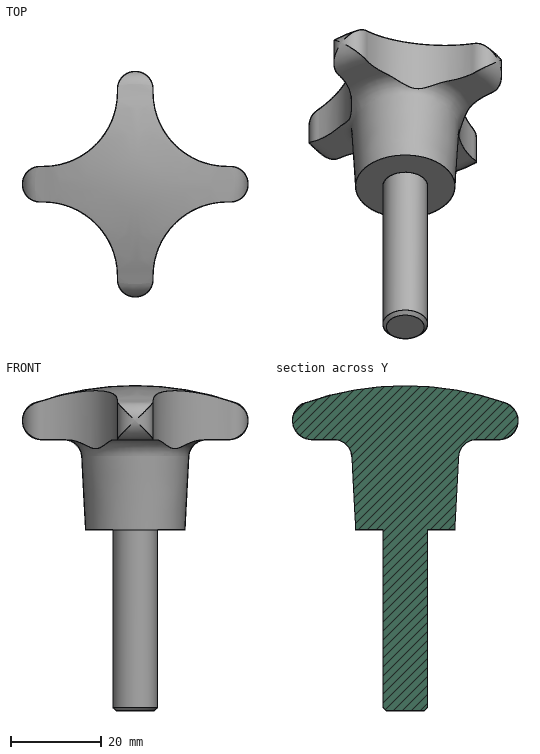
import cadquery as cq
import math

total_height = 72.0
arm_reach = 25.0
arm_half_width = 3.95
scallop_radius = 16.35
head_height = 12.0
rim_radius = 4.25
hub_height = 32.0
hub_end_radius = 11.0
hub_draft = math.radians(3)
neck_radius = 3.9
stud_radius = 5.0
stud_chamfer = 0.8

rim_center_x = arm_reach - rim_radius
rim_center_z = -head_height + rim_radius
dome_radius = (rim_center_x**2 + rim_center_z**2 - rim_radius**2) / (2 * (-rim_center_z - rim_radius))
dome_edge_angle = math.atan2(rim_center_x, dome_radius + rim_center_z)

neck_center_z = -head_height - neck_radius
hub_top_z = neck_center_z + neck_radius * math.sin(hub_draft)
hub_top_radius = hub_end_radius + (hub_height + hub_top_z) * math.tan(hub_draft)
neck_center_x = hub_top_radius + neck_radius * math.cos(hub_draft)


def polar_point(center_x, center_z, radius, angle):
    """Point on a circle, with the angle measured from +X toward +Z."""
    return (center_x + radius * math.cos(angle), center_z + radius * math.sin(angle))


def turned_body():
    """Dome, rim, neck, hub and stud as one revolved profile."""
    dome_mid = polar_point(0, -dome_radius, dome_radius, math.pi / 2 - dome_edge_angle / 2)
    dome_edge = polar_point(0, -dome_radius, dome_radius, math.pi / 2 - dome_edge_angle)
    rim_mid = polar_point(rim_center_x, rim_center_z, rim_radius, 0)
    neck_mid = polar_point(neck_center_x, neck_center_z, neck_radius, math.radians(135))
    return (
        cq.Workplane("XZ")
        .moveTo(0, 0)
        .threePointArc(dome_mid, dome_edge)
        .threePointArc(rim_mid, (rim_center_x, -head_height))
        .lineTo(neck_center_x, -head_height)
        .threePointArc(neck_mid, (hub_top_radius, hub_top_z))
        .lineTo(hub_end_radius, -hub_height)
        .lineTo(stud_radius, -hub_height)
        .lineTo(stud_radius, -total_height + stud_chamfer)
        .lineTo(stud_radius - stud_chamfer, -total_height)
        .lineTo(0, -total_height)
        .close()
        .revolve(360, (0, 0, 0), (0, 1, 0))
    )


def cross_prism():
    """Four round-ended arms joined by scallops, through the full height."""
    arm_end_center = arm_reach - arm_half_width
    scallop_center = arm_half_width + scallop_radius
    scallop_mid = scallop_center - scallop_radius / math.sqrt(2)

    def turned(x, y, quarter):
        for _ in range(quarter):
            x, y = -y, x
        return (x, y)

    outline = cq.Workplane("XY").moveTo(arm_end_center, -arm_half_width)
    for quarter in range(4):
        outline = (
            outline
            .threePointArc(turned(arm_reach, 0, quarter), turned(arm_end_center, arm_half_width, quarter))
            .lineTo(*turned(scallop_center, arm_half_width, quarter))
            .threePointArc(
                turned(scallop_mid, scallop_mid, quarter),
                turned(arm_half_width, scallop_center, quarter),
            )
            .lineTo(*turned(arm_half_width, arm_end_center, quarter))
        )
    return outline.close().extrude(-total_height)


result = turned_body().intersect(cross_prism())